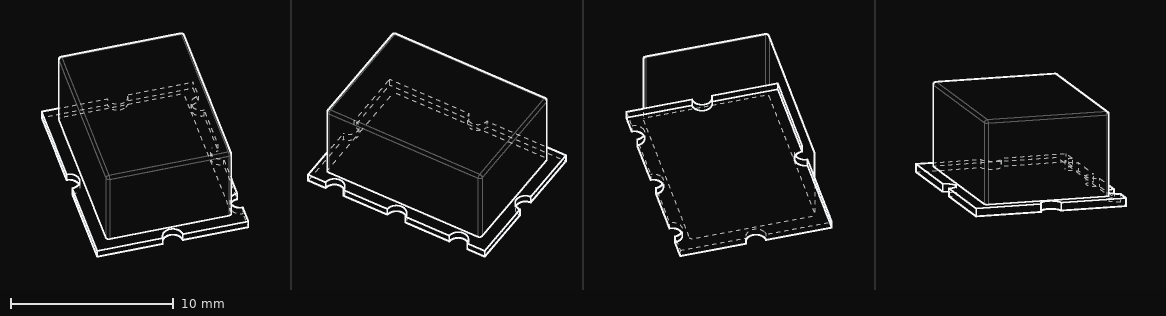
import cadquery as cq

BOARD_LENGTH = 12.7
BOARD_WIDTH = 9.65
BOARD_THICKNESS = 0.51

TOTAL_HEIGHT = 5.84
COVER_LENGTH = 11.1
COVER_WIDTH = 8.0
COVER_EDGE_RADIUS = 0.19

NOTCH_RADIUS = 0.64
NOTCH_PITCH = 4.45

half_length = BOARD_LENGTH / 2
half_width = BOARD_WIDTH / 2

notch_centers = [
    (-NOTCH_PITCH, half_width),
    (0, half_width),
    (NOTCH_PITCH, half_width),
    (0, -half_width),
    (-half_length, 0),
    (half_length, 0),
]


def make_board():
    """Flat board with a half-round notch at every terminal."""
    board = cq.Workplane("XY").rect(BOARD_LENGTH, BOARD_WIDTH).extrude(BOARD_THICKNESS)
    notches = (
        cq.Workplane("XY")
        .pushPoints(notch_centers)
        .circle(NOTCH_RADIUS)
        .extrude(BOARD_THICKNESS)
    )
    return board.cut(notches)


def make_cover():
    """Block with rounded vertical and top edges and a sharp lower rim."""
    return (
        cq.Workplane("XY")
        .workplane(offset=BOARD_THICKNESS)
        .rect(COVER_LENGTH, COVER_WIDTH)
        .extrude(TOTAL_HEIGHT - BOARD_THICKNESS)
        .edges("|Z or >Z")
        .fillet(COVER_EDGE_RADIUS)
    )


result = make_board().union(make_cover())